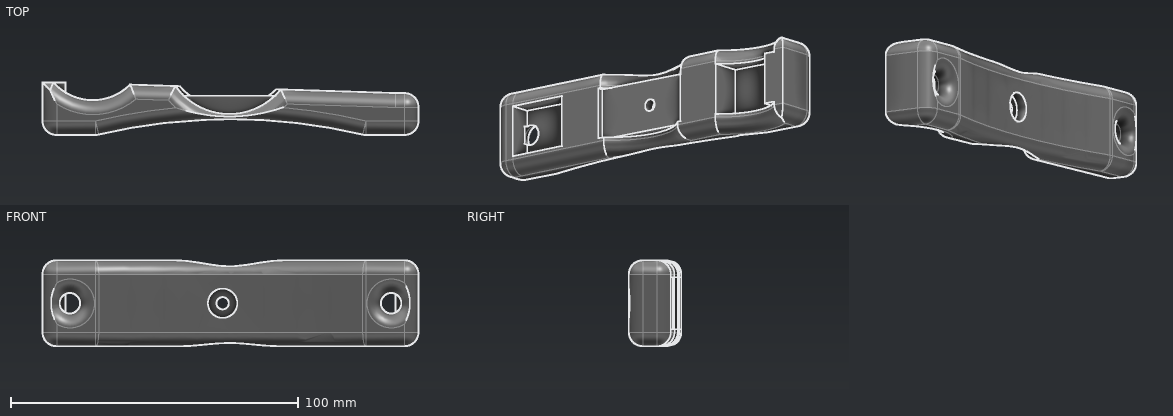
import cadquery as cq
import math

length = 131.0
depth = 18.3
height = 30.0
edge_radius = 5.0
middle_z = height / 2
tolerance = 0.01

foot_length = 19.0
arch_rise = 5.5
end_tab = 8.1
right_depth = 14.7

cut_height = 6.0
scallop_x = 17.5
scallop_radius = 18.3
scallop_floor = 12.2
waist_x = 65.1
waist_radius = 22.9
top_waist_floor = 7.3
bottom_waist_floor = 9.2

recess_start = 46.5
recess_end = 83.8
recess_floor = 13.8
pocket_length = 22.3
pocket_floor = 6.5

end_hole_inset = 9.5
end_hole_radius = 3.5
funnel_radius = 8.5
end_hole_depth = 7.9
centre_hole_x = 62.7
centre_hole_radius = 2.1
bore_radius = 5.1
bore_depth = 3.9


def is_rounded(edge):
    """Every edge but those of the square back face on the left tab."""
    return edge.BoundingBox().ymin < depth - tolerance


def make_body():
    """Arched bar with rounded edges; the left tab keeps its back edges square."""
    body = (
        cq.Workplane("XY")
        .lineTo(foot_length, 0)
        .threePointArc((length / 2, arch_rise), (length - foot_length, 0))
        .lineTo(length, 0)
        .lineTo(length, right_depth)
        .lineTo(length - end_tab, right_depth)
        .lineTo(end_tab, depth)
        .lineTo(0, depth)
        .close()
        .extrude(height)
    )
    inner = (tolerance, -tolerance, -tolerance)
    arch_ends = cq.selectors.BoxSelector(inner, (length - tolerance, tolerance, height + tolerance))
    body = body.edges("|Z").edges(arch_ends).fillet(edge_radius)
    upright_corners = body.edges("|Z").edges("<X or >X")
    outlines = body.faces("<Z or >Z").edges()
    rounded = upright_corners.add(outlines).filter(is_rounded)
    return rounded.fillet(edge_radius)


def saddle_cutter(x, floor, radius):
    """Upright cylinder in the top rim whose mouth flares out to the top face."""
    shoulder = height - edge_radius
    bend = edge_radius * math.sqrt(0.5)
    flare_radius = radius + edge_radius
    return (
        cq.Workplane("XZ")
        .moveTo(0, height - cut_height)
        .lineTo(radius, height - cut_height)
        .lineTo(radius, shoulder)
        .threePointArc((flare_radius - bend, shoulder + bend), (flare_radius, height))
        .lineTo(0, height)
        .close()
        .revolve(360, (0, 0), (0, 1))
        .translate((x, floor + radius, 0))
    )


def cut_saddle(body, x, radius, top_floor, bottom_floor):
    """Cut matching saddles into the top rim and, mirrored, the bottom rim."""
    top = saddle_cutter(x, top_floor, radius)
    bottom = saddle_cutter(x, bottom_floor, radius).mirror("XY", (0, 0, middle_z))
    return body.cut(top).cut(bottom)


def rim_gap_box(start, end, floor):
    """Box between the two rims, open through the back."""
    return cq.Workplane("XY").box(
        end - start, depth, height - 2 * cut_height, centered=(False, False, True)
    ).translate((start, floor, middle_z))


def round_hole(x, radius, hole_depth):
    """Cylinder running from the front face toward +Y."""
    return cq.Workplane("XZ", origin=(x, 0, middle_z)).circle(radius).extrude(-hole_depth)


def funnel(x):
    """Bell-mouthed opening that narrows along a quarter arc to the end hole."""
    lip = funnel_radius - end_hole_radius
    bend = lip * math.sqrt(0.5)
    return (
        cq.Workplane("XY")
        .lineTo(funnel_radius, 0)
        .threePointArc((funnel_radius - bend, lip - bend), (end_hole_radius, lip))
        .lineTo(0, lip)
        .close()
        .revolve(360, (0, 0), (0, 1))
        .translate((x, 0, middle_z))
    )


result = make_body()
result = cut_saddle(result, scallop_x, scallop_radius, scallop_floor, scallop_floor)
result = cut_saddle(result, waist_x, waist_radius, top_waist_floor, bottom_waist_floor)

result = result.cut(rim_gap_box(recess_start, recess_end, recess_floor))
pocket_starts = (end_tab, length - end_tab - pocket_length)
for start in pocket_starts:
    result = result.cut(rim_gap_box(start, start + pocket_length, pocket_floor))

for x in (end_hole_inset, length - end_hole_inset):
    result = result.cut(round_hole(x, end_hole_radius, end_hole_depth))
    result = result.cut(funnel(x))

result = result.cut(round_hole(centre_hole_x, centre_hole_radius, depth))
result = result.cut(round_hole(centre_hole_x, bore_radius, arch_rise + bore_depth))